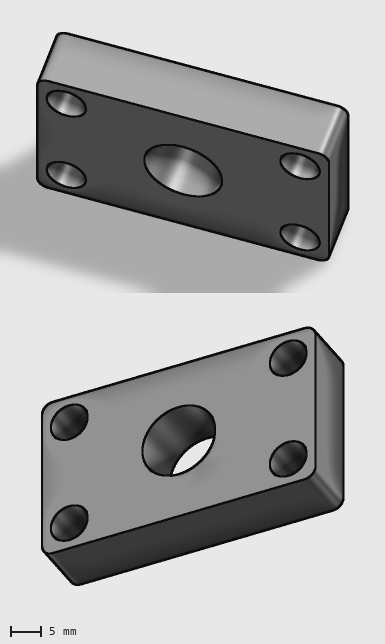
import cadquery as cq

length = 50.0
thickness = 10.0
height = 30.0
corner_radius = 2.0

bore_diameter = 13.3
bolt_hole_diameter = 6.7
bolt_edge_distance = 5.0
bolt_spacing_x = length - 2 * bolt_edge_distance
bolt_spacing_z = height - 2 * bolt_edge_distance

plate = cq.Workplane("XY").box(length, thickness, height).edges("|Y").fillet(corner_radius)

bored_plate = plate.faces("<Y").workplane(centerOption="CenterOfBoundBox").hole(bore_diameter)

result = (
    bored_plate.faces("<Y")
    .workplane(centerOption="CenterOfBoundBox")
    .rect(bolt_spacing_x, bolt_spacing_z, forConstruction=True)
    .vertices()
    .hole(bolt_hole_diameter)
)